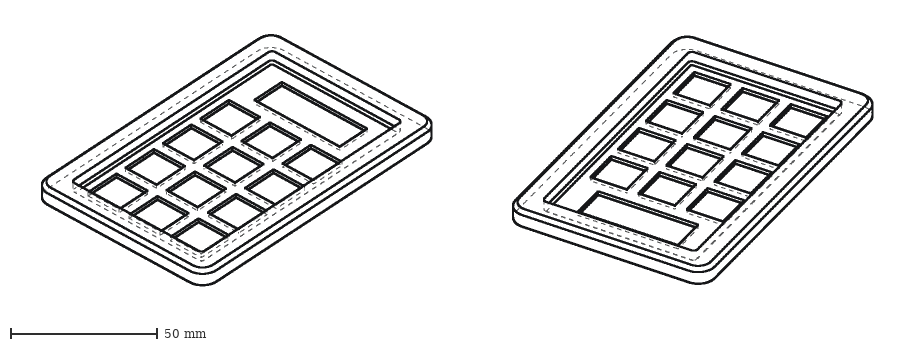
import cadquery as cq

width = 78.5
length = 119.5
height = 6.5
corner_radius = 6.5
rim_chamfer = 1.5

recess_width = 60.3
recess_length = 101.6
recess_corner_radius = 1.5
floor_thickness = 1.5
floor_bevel = 1.0

display_width = 39.4
display_length = 13.9
display_center_y = 37.5

key_size = 14.3
key_pitch = 19.0
key_columns = 3
key_rows = 4
key_grid_center_y = -11.0


def rounded_block(block_width, block_length, block_height, radius, base_z):
    """Block centered on the Z axis with rounded vertical edges."""
    return (
        cq.Workplane("XY")
        .workplane(offset=base_z)
        .rect(block_width, block_length)
        .extrude(block_height)
        .edges("|Z")
        .fillet(radius)
    )


def make_frame():
    """Solid outer block with a chamfered top rim."""
    block = rounded_block(width, length, height, corner_radius, 0)
    return block.faces(">Z").chamfer(rim_chamfer)


def make_recess():
    """Volume removed above the floor, narrowing at the bottom."""
    depth = height - floor_thickness
    block = rounded_block(recess_width, recess_length, depth, recess_corner_radius, floor_thickness)
    return block.faces("<Z").chamfer(floor_bevel)


def make_display_window():
    """Rectangular opening through the floor for the display."""
    return cq.Workplane("XY").center(0, display_center_y).rect(display_width, display_length).extrude(height)


def make_key_windows():
    """Grid of square openings through the floor for the keys."""
    return (
        cq.Workplane("XY")
        .center(0, key_grid_center_y)
        .rarray(key_pitch, key_pitch, key_columns, key_rows)
        .rect(key_size, key_size)
        .extrude(height)
    )


result = make_frame().cut(make_recess()).cut(make_display_window()).cut(make_key_windows())